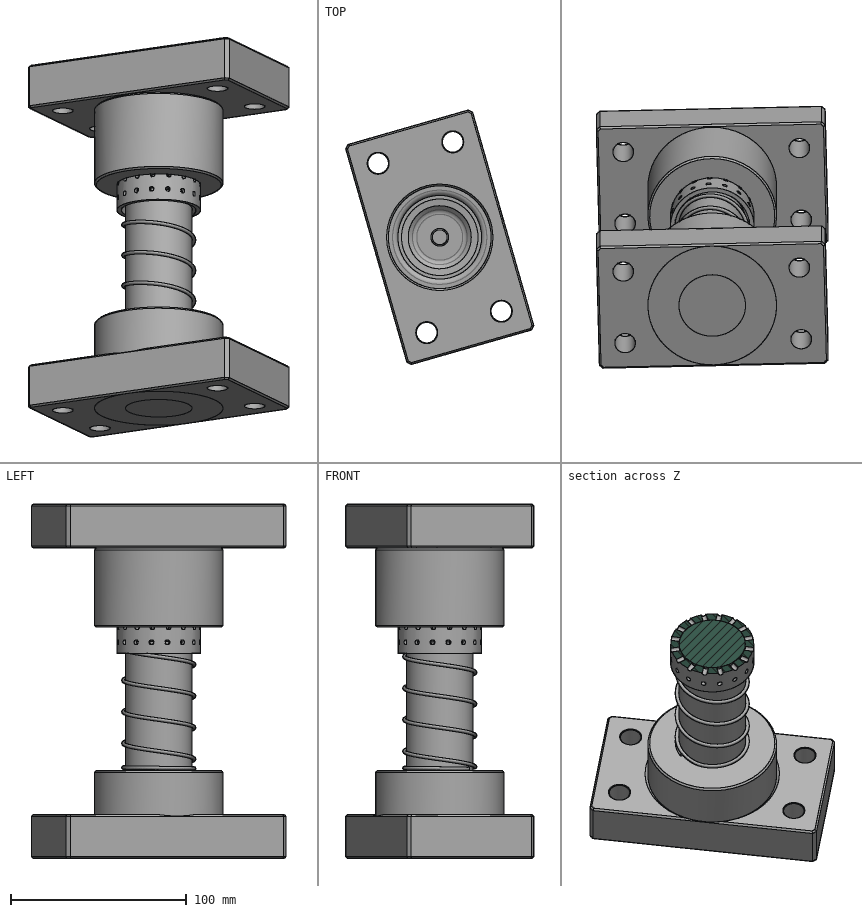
import cadquery as cq
import math

plate_width = 75.1
plate_length = 130.1
plate_thickness = 25.0
plate_turn = 16.0
plate_corner_chamfer = 2.0
edge_chamfer = 1.0
base_bore_chamfer = 1.6
bolt_hole_diameter = 11.7
bolt_spacing_width = 44.1
bolt_spacing_length = 100.1
bolt_hole_chamfer = 0.5

total_height = 201.5
upper_plate_z = total_height - plate_thickness
base_top_z = 50.0
cage_bottom_z = 116.6
bushing_bottom_z = 131.5
bushing_top_z = total_height - edge_chamfer
cap_rim_z = 194.2
cap_bottom_z = 186.3

collar_radius = 36.55
spigot_radius = 29.2
pillar_radius = 19.0
cage_radius = 23.8
bushing_lead_in = 3.0

cap_radius = 21.8
cap_dish_radius = 18.0
cap_dish_z = 193.8
cap_floor_radius = 14.5
cap_floor_z = 190.5
cap_floor_fillet = 3.6

screw_radius = 5.0
screw_top_z = 192.0
screw_bottom_z = 177.2
screw_chamfer = 0.8

wire_radius = 1.0
spring_pitch = 18.0
spring_active_turns = 4
closed_turn_rise = 1.0
closed_turns = 0.9
spring_clearance = 0.1
spring_radius = pillar_radius + wire_radius + spring_clearance
spring_points_per_turn = 24

pockets_per_row = 16
pocket_row_count = 2
pocket_row_pitch = 8.5
pocket_row_twist = 1.5
pocket_diameter = 2.6
first_pocket_angle = 12.2
first_pocket_row_z = 122.9

recess_clearance = 0.2
spring_start_z = base_top_z + wire_radius
spring_height = 2 * closed_turn_rise + spring_active_turns * spring_pitch
cage_recess_radius = spring_radius + wire_radius + recess_clearance
cage_recess_top_z = spring_start_z + spring_height + wire_radius


def cylinder(radius, bottom_z, top_z):
    return cq.Workplane("XY").workplane(offset=bottom_z).circle(radius).extrude(top_z - bottom_z)


def make_plate(bottom_z, bore_radius, bore_chamfer):
    """Turned rectangular plate with four bolt holes and a bore chamfered at the top."""
    plate = (
        cq.Workplane("XY")
        .workplane(offset=bottom_z)
        .rect(plate_width, plate_length)
        .extrude(plate_thickness)
        .edges("|Z")
        .chamfer(plate_corner_chamfer)
        .faces("<Z or >Z")
        .edges()
        .chamfer(edge_chamfer)
    )
    drilled = (
        plate.faces(">Z")
        .workplane(origin=(0, 0, 0))
        .rect(bolt_spacing_width, bolt_spacing_length, forConstruction=True)
        .vertices()
        .cskHole(bolt_hole_diameter, bolt_hole_diameter + 2 * bolt_hole_chamfer, 90)
    )
    bored = drilled.faces(">Z").workplane(origin=(0, 0, 0)).cskHole(
        2 * bore_radius, 2 * (bore_radius + bore_chamfer), 90
    )
    return bored.rotate((0, 0, 0), (0, 0, 1), plate_turn)


def make_base_ring():
    ring = cylinder(collar_radius, 0, base_top_z).faces(">Z").edges().chamfer(edge_chamfer)
    return ring.cut(cylinder(pillar_radius, 0, base_top_z))


def make_bushing():
    """Collar below the upper plate and a spigot inside it, with a rounded mouth."""
    collar = cylinder(collar_radius, bushing_bottom_z, upper_plate_z).edges().chamfer(edge_chamfer)
    spigot = cylinder(spigot_radius, bushing_bottom_z, bushing_top_z)
    bushing = collar.union(spigot).cut(cylinder(cage_radius, bushing_bottom_z, bushing_top_z))
    mouth = cq.selectors.RadiusNthSelector(0)
    return bushing.faces(">Z").edges(mouth).fillet(bushing_lead_in)


def make_cage():
    """Sleeve around the pillar with a recess for the spring and rows of ball pockets."""
    cage = cylinder(cage_radius, cage_bottom_z, cap_bottom_z)
    cage = cage.cut(cylinder(pillar_radius, cage_bottom_z, cap_bottom_z))
    cage = cage.cut(cylinder(cage_recess_radius, cage_bottom_z, cage_recess_top_z))
    for row in range(pocket_row_count):
        row_z = first_pocket_row_z + row * pocket_row_pitch
        for place in range(pockets_per_row):
            angle = first_pocket_angle + place * 360 / pockets_per_row + row * pocket_row_twist
            pocket = (
                cq.Workplane("YZ")
                .workplane(offset=pillar_radius)
                .center(0, row_z)
                .circle(pocket_diameter / 2)
                .extrude(cage_radius)
                .rotate((0, 0, 0), (0, 0, 1), angle)
            )
            cage = cage.cut(pocket)
    return cage


def spring_rise(turn):
    """Height of the wire centre above its start after a number of turns."""
    active = min(max(turn - closed_turns, 0), spring_active_turns)
    closed = turn - active
    return active * spring_pitch + closed * closed_turn_rise / closed_turns


def make_spring():
    turns = 2 * closed_turns + spring_active_turns
    point_count = round(turns * spring_points_per_turn)
    points = []
    for step in range(point_count + 1):
        turn = turns * step / point_count
        angle = -2 * math.pi * (turn - closed_turns)
        x = spring_radius * math.cos(angle)
        y = spring_radius * math.sin(angle)
        points.append(cq.Vector(x, y, spring_start_z + spring_rise(turn)))
    path = cq.Edge.makeSpline(points)
    section = cq.Workplane(cq.Plane(points[0], (0, 0, 1), path.tangentAt(0)))
    return section.circle(wire_radius).sweep(cq.Workplane(path), isFrenet=True)


def make_cap():
    """Dished disc with a screw hole."""
    profile = (
        cq.Workplane("XZ")
        .moveTo(screw_radius, cap_bottom_z)
        .lineTo(cap_radius, cap_bottom_z)
        .lineTo(cap_radius, cap_rim_z)
        .lineTo(cap_dish_radius, cap_dish_z)
        .lineTo(cap_floor_radius, cap_floor_z)
        .lineTo(screw_radius, cap_floor_z)
        .close()
    )
    cap = profile.revolve(360, (0, 0, 0), (0, 1, 0))
    floor_rim = cq.selectors.RadiusNthSelector(-1)
    return cap.faces(cq.selectors.NearestToPointSelector((0, 0, cap_floor_z))).edges(floor_rim).fillet(
        cap_floor_fillet
    )


def make_screw():
    return cylinder(screw_radius, screw_bottom_z, screw_top_z).faces(">Z").edges().chamfer(screw_chamfer)


screw = make_screw()
pillar = cylinder(pillar_radius, 0, cap_bottom_z).cut(screw)
lower_plate = make_plate(0, collar_radius, base_bore_chamfer)
upper_plate = make_plate(upper_plate_z, spigot_radius, edge_chamfer)
base_ring = make_base_ring()
bushing = make_bushing()
cage = make_cage()
spring = make_spring()
cap = make_cap()

bodies = [lower_plate, upper_plate, base_ring, bushing, pillar, cage, spring, cap, screw]
result = cq.Compound.makeCompound([body.val() for body in bodies])